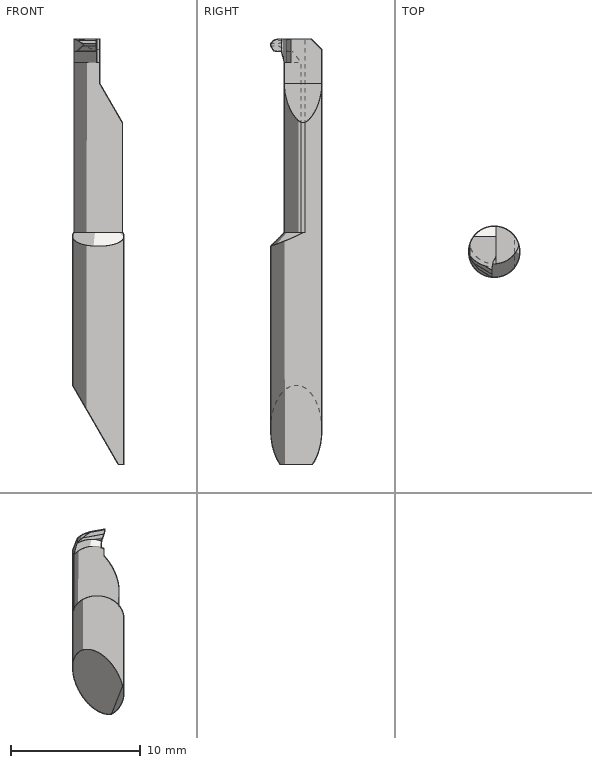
import cadquery as cq
import math

length = 32.98
diameter = 4.0
radius = diameter / 2

end_slope = math.radians(60)
end_flat_edge = 1.55

neck_half_width = 1.88
neck_bottom = 17.97
neck_front_center = 1.05
shoulder_height = 1.32

rake_x = 0.13
rake_bottom = 29.52
rake_slope = math.radians(60)
back_chamfer = 0.82

tooth_bottom = 32.0
tooth_tip = (-0.15, -1.98)
tooth_edge_low = 32.45
tooth_edge_high = 32.62
tooth_flank_middle = (-1.3, -1.25)
tooth_side_y = -0.4
tooth_crest_end = (-0.25, -1.4)
tooth_reach = 0.45
tooth_bevel_start = 0.25
tooth_bevel_low = 32.05
tooth_bevel_high = 32.88

flare_bottom = 31.15
flare_side_y = -0.3
head_inner_y = 0.5
flare_middle = (-1.1, -0.95)
flare_front = (-0.13, -1.15)

groove_start_y = -0.4
groove_corner = (-0.1, -0.8)

clear = 6.6


def extrude_profile_along_y(points):
    """Extrude an XZ profile through the whole width of the part."""
    return cq.Workplane("XZ").polyline(points).close().extrude(clear, both=True)


def make_blank():
    """Round bar with its lower end cut at an angle."""
    bar = cq.Workplane("XY").circle(radius).extrude(length)
    cut_height = (end_flat_edge + clear) * math.tan(end_slope)
    end_cut = extrude_profile_along_y([(end_flat_edge, 0), (-clear, 0), (-clear, cut_height)])
    return bar.cut(end_cut)


def make_neck_limit():
    """Envelope that contains the neck, the conical shoulder and the full shank."""
    shank = cq.Workplane("XY").circle(radius).extrude(neck_bottom - shoulder_height)
    shoulder = (
        cq.Workplane("XY", origin=(0, neck_front_center, neck_bottom - shoulder_height))
        .circle(radius + shoulder_height)
        .workplane(offset=shoulder_height)
        .circle(radius)
        .loft()
    )
    neck_height = length - neck_bottom
    front_disc = (
        cq.Workplane("XY", origin=(0, neck_front_center, neck_bottom)).circle(radius).extrude(neck_height)
    )
    side_flats = (
        cq.Workplane("XY", origin=(0, 0, neck_bottom))
        .rect(2 * neck_half_width, 4 * radius)
        .extrude(neck_height)
    )
    back_block = (
        cq.Workplane("XY", origin=(0, 0, neck_bottom - shoulder_height))
        .center(0, neck_front_center + radius)
        .rect(4 * radius, 2 * radius)
        .extrude(length - neck_bottom + shoulder_height)
    )
    neck = front_disc.union(back_block).intersect(side_flats)
    back_collar = back_block.intersect(
        cq.Workplane("XY").circle(radius).extrude(neck_bottom)
    )
    return shank.union(shoulder).union(back_collar).union(neck)


def make_rake_cut():
    """Removes the +X half of the neck tip down to a sloping run-out."""
    outer_x = clear
    outer_z = rake_bottom - (outer_x - rake_x) * math.tan(rake_slope)
    return extrude_profile_along_y(
        [(rake_x, length + clear), (rake_x, rake_bottom), (outer_x, outer_z), (outer_x, length + clear)]
    )


def make_back_chamfer_cut():
    """45 degree wedge off the +Y edge of the tip."""
    start_y = radius - back_chamfer
    return (
        cq.Workplane("YZ")
        .polyline([(start_y, length), (start_y + clear, length), (start_y + clear, length - clear)])
        .close()
        .extrude(clear, both=True)
    )


def make_tooth():
    """Curved-flank prism with bevels running parallel to the crest line."""
    side_corner = (-neck_half_width, tooth_side_y)
    plan = (
        cq.Workplane("XY", origin=(0, 0, tooth_bottom))
        .moveTo(tooth_tip[0], 0)
        .lineTo(-neck_half_width, 0)
        .lineTo(*side_corner)
        .threePointArc(tooth_flank_middle, tooth_tip)
        .close()
        .extrude(length - tooth_bottom)
    )
    crest_x = tooth_crest_end[0] - side_corner[0]
    crest_y = tooth_crest_end[1] - side_corner[1]
    edge_plane = cq.Plane(
        origin=(*tooth_crest_end, 0),
        xDir=(crest_y, -crest_x, 0),
        normal=(-crest_x, -crest_y, 0),
    )
    wedge = (
        cq.Workplane(edge_plane)
        .polyline(
            [
                (-clear, tooth_bottom),
                (0, tooth_bottom),
                (tooth_bevel_start, tooth_bevel_low),
                (tooth_reach, tooth_edge_low),
                (tooth_reach, tooth_edge_high),
                (tooth_bevel_start, tooth_bevel_high),
                (0, length),
                (-clear, length),
            ]
        )
        .close()
        .extrude(clear, both=True)
    )
    return plan.intersect(wedge)


def neck_front_y(x):
    """Y of the neck's front arc at a given X."""
    return neck_front_center - math.sqrt(radius**2 - x**2)


def draw_head_section(workplane, side_y, middle, front):
    """Closed section with a straight side flat and an arc along the front."""
    return (
        workplane.moveTo(front[0], head_inner_y)
        .lineTo(-neck_half_width, head_inner_y)
        .lineTo(-neck_half_width, side_y)
        .threePointArc(middle, front)
        .close()
    )


def make_flare():
    """Ruled transition from the neck front to the root of the tooth."""
    lower = draw_head_section(
        cq.Workplane("XY", origin=(0, 0, flare_bottom)),
        neck_front_y(neck_half_width),
        (flare_middle[0], neck_front_y(flare_middle[0])),
        (flare_front[0], neck_front_y(flare_front[0])),
    )
    upper = draw_head_section(
        lower.workplane(offset=tooth_bottom - flare_bottom), flare_side_y, flare_middle, flare_front
    )
    return upper.loft(ruled=True)


def make_tooth_root():
    """Continuation of the flare's upper section behind the tooth."""
    base = cq.Workplane("XY", origin=(0, 0, tooth_bottom))
    section = draw_head_section(base, flare_side_y, flare_middle, flare_front)
    return section.extrude(length - tooth_bottom)


def make_chip_groove():
    """Shallow groove that sets the tooth face back from the rake face."""
    return (
        cq.Workplane("XY", origin=(0, 0, flare_bottom))
        .polyline(
            [(rake_x, groove_start_y), groove_corner, tooth_tip, (rake_x, tooth_tip[1])]
        )
        .close()
        .extrude(length - flare_bottom)
    )


bar = make_blank().intersect(make_neck_limit())
bar = bar.cut(make_rake_cut()).cut(make_back_chamfer_cut())
head = make_flare().union(make_tooth_root()).union(make_tooth())
result = bar.union(head).cut(make_chip_groove())